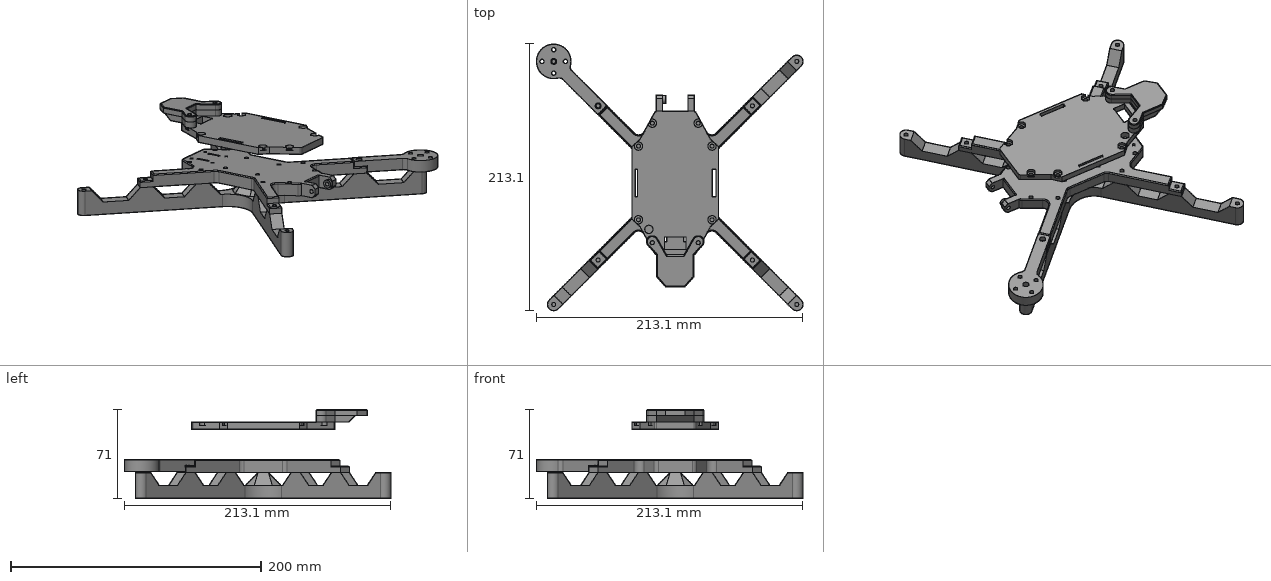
import cadquery as cq
import math

ROOT2 = math.sqrt(2)

OVERALL = 213.1
ARM_WIDTH = 10.0
ARM_HALF = ARM_WIDTH / 2
MOTOR_RADIUS = 13.9
ARM_DIRECTIONS = (45, 135, 225, 315)
MOTOR_DIRECTION = 135

MOTOR_OFFSET = (OVERALL - MOTOR_RADIUS - ARM_HALF) / 2
ARM_LENGTH = MOTOR_OFFSET * ROOT2

SKID_BASE_TOP = 10.5
SKID_TOP = 20.5
FRAME_TOP = 31.0
LAP_LEVEL = 25.8
LAP_GAP = 0.6
PLATE_BOTTOM = 55.2
PLATE_TOP = 61.0
MOUNT_SPLIT = 66.0
MOUNT_TOP = 71.0

SKID_CROTCH_RADIUS = 20.5
POST_TOP_LENGTH = 10.7
POST_SPREAD = 9.4
CENTRE_POST_HALF = 4.3
CENTRE_POST_SPREAD = 10.0
CENTRE_CORNER_REACH = 15.1
SKID_HOLE_DIAMETER = 3.2

END_Y = 57.3
END_HALF = 16.0
FRAME_HALF_WIDTH = 24.7
FRAME_FILLET = 5.0
FRAME_CHAMFER = 0.9
FRAME_END_FILLET = 4.0
SHOULDER = 81.8
TONGUE_END = 92.5
LAP_SCREW = (SHOULDER + TONGUE_END) / 2
SCREW_DIAMETER = 3.2
CORNER_SCREW = 29.5
END_SCREW = (18.3, 47.7)
END_SCREW_DEPTH = 8.5
INNER_SCREW = 15.3
CAMERA_HOLE_DIAMETER = 2.1
CAMERA_HOLE_X = 10.0
CAMERA_HOLE_YS = (-31.3, -51.4)
CABLE_SLOT = (2.0, 10.2)
CABLE_SLOT_CENTRE = (7.9, -41.8)

PRONG_INNER_X = 10.0
PRONG_OUTER_X = 15.3
PRONG_TIP_Y = 70.1
PRONG_CHAMFER = 2.8
PRONG_ROOT = 4.3
HINGE_Y = 66.7
HINGE_HOLE_DIAMETER = 3.2
BOSS_DIAMETER = 6.5
BOSS_LENGTH = 2.5

MOTOR_ARM_BOTTOM = 21.3
MOTOR_FILLET = 4.3
MOTOR_BORE = 4.7
MOTOR_HOLE_DIAMETER = 3.2
MOTOR_HOLE_CIRCLE = 9.4
MOTOR_ARM_SCREW = 4.7

PLATE_SIDE = (34.7, 28.8)
PLATE_SHOULDER = (28.1, 35.0)
PLATE_END_FILLET = 2.0
COUNTERBORE_DIAMETER = 6.5
COUNTERBORE_DEPTH = 2.5
STRAP_SLOT_LENGTH = 21.7
LEFT_STRAP_SLOT = (-31.1, 1.5)
RIGHT_STRAP_SLOT = (31.1, 2.8)
WINDOW = (16.8, 9.8)
WINDOW_Y = -48.2
ACCESS_HOLE_DIAMETER = 6.5
ACCESS_HOLE_CENTRE = (-21.0, -37.0)

LUG_CENTRE = (18.3, -46.9)
LUG_RADIUS = 4.7
NOTCH_HALF = 6.5
NOTCH_Y = -58.2
MOUNT_HALF = 15.0
MOUNT_ROOT_Y = -57.3
MOUNT_CUT_Y = -75.0
MOUNT_NOSE_HALF = 7.7
MOUNT_NOSE_Y = -83.1
MOUNT_CHAMFER = 0.6
RAMP_FOOT_Y = -68.5
MOUNT_HOLE_DIAMETER = 3.2


def mirrored(x, y):
    """The four points at +-x, +-y."""
    return [(sx * x, sy * y) for sx in (1, -1) for sy in (1, -1)]


def turn(shape, degrees):
    return shape.rotate((0, 0, 0), (0, 0, 1), degrees)


def along(distance, degrees):
    """The point at a distance from the centre along an arm."""
    return (distance * math.cos(math.radians(degrees)), distance * math.sin(math.radians(degrees)))


def drill(points, diameter, bottom, top):
    holes = cq.Workplane("XY", origin=(0, 0, bottom)).pushPoints(points)
    return holes.circle(diameter / 2).extrude(top - bottom)


def fillet_corner(body, x, y, z, radius):
    """Round the upright edge at one place."""
    return body.edges("|Z").edges(cq.NearestToPointSelector((x, y, z))).fillet(radius)


def make_skid():
    bar = cq.Workplane("XY").slot2D(2 * ARM_LENGTH + ARM_WIDTH, ARM_WIDTH).extrude(SKID_BASE_TOP)
    skid = turn(bar, 45).union(turn(bar, 135))
    crotch = ARM_HALF * ROOT2
    for x, y in ((crotch, 0), (-crotch, 0), (0, crotch), (0, -crotch)):
        skid = fillet_corner(skid, x, y, SKID_BASE_TOP / 2, SKID_CROTCH_RADIUS)

    rounded_bar = cq.Workplane("XY").slot2D(2 * ARM_LENGTH + ARM_WIDTH, ARM_WIDTH).extrude(SKID_TOP)
    for direction in ARM_DIRECTIONS:
        for centre in (CORNER_SCREW * ROOT2, LAP_SCREW, ARM_LENGTH):
            top_half = POST_TOP_LENGTH / 2
            foot_half = top_half + POST_SPREAD
            post = (
                cq.Workplane("XZ", origin=(centre, ARM_HALF, 0))
                .moveTo(-foot_half, SKID_BASE_TOP)
                .lineTo(-top_half, SKID_TOP)
                .lineTo(top_half, SKID_TOP)
                .lineTo(foot_half, SKID_BASE_TOP)
                .close()
                .extrude(ARM_WIDTH)
            )
            skid = skid.union(turn(post.intersect(rounded_bar), direction))
            hole = drill([along(centre, direction)], SKID_HOLE_DIAMETER, SKID_BASE_TOP, SKID_TOP)
            skid = skid.cut(hole)
    return skid.union(make_centre_post())


def make_centre_post():
    """A square pyramid stump whose corners are trimmed square to the bars."""
    height = SKID_TOP - SKID_BASE_TOP
    foot = 2 * (CENTRE_POST_HALF + CENTRE_POST_SPREAD)
    base = cq.Workplane("XY", origin=(0, 0, SKID_BASE_TOP))
    stump = base.rect(foot, foot).workplane(offset=height)
    stump = stump.rect(2 * CENTRE_POST_HALF, 2 * CENTRE_POST_HALF).loft(ruled=True)
    trim_foot = 2 * CENTRE_CORNER_REACH
    trim_top = 2 * CENTRE_POST_HALF * ROOT2
    trim = base.rect(trim_foot, trim_foot).workplane(offset=height)
    trim = trim.rect(trim_top, trim_top).loft(ruled=True)
    return stump.intersect(turn(trim, 45))


def end_outline(points):
    """Close a quarter outline, given from side to end, into a symmetric ring."""
    upper = points + [(-x, y) for x, y in reversed(points)]
    lower = [(-x, -y) for x, y in upper]
    return upper + lower


def make_frame():
    thickness = FRAME_TOP - SKID_TOP
    middle = (SKID_TOP + FRAME_TOP) / 2
    base = cq.Workplane("XY", origin=(0, 0, SKID_TOP))
    crotch = ARM_HALF * ROOT2
    root_y = FRAME_HALF_WIDTH - crotch
    shoulder_y = PLATE_SHOULDER[0] + crotch
    body_points = [
        (FRAME_HALF_WIDTH, root_y),
        (PLATE_SHOULDER[0], shoulder_y),
        (END_HALF, END_Y),
    ]
    frame = base.polyline(end_outline(body_points)).close().extrude(thickness)
    bar = base.rect(2 * SHOULDER, ARM_WIDTH).extrude(thickness)
    frame = frame.union(turn(bar, 45)).union(turn(bar, 135))
    for x, y in mirrored(FRAME_HALF_WIDTH, root_y) + mirrored(PLATE_SHOULDER[0], shoulder_y):
        frame = fillet_corner(frame, x, y, middle, FRAME_FILLET)
    for x, y in mirrored(END_HALF, END_Y):
        frame = fillet_corner(frame, x, y, middle, FRAME_END_FILLET)
    frame = frame.faces(">Z").edges().chamfer(FRAME_CHAMFER)

    tongue = make_tongue()
    for direction in ARM_DIRECTIONS:
        frame = frame.union(turn(tongue, direction))
    frame = frame.union(make_prongs())

    screws = mirrored(CORNER_SCREW, CORNER_SCREW) + mirrored(INNER_SCREW, INNER_SCREW)
    screws += [along(LAP_SCREW, direction) for direction in ARM_DIRECTIONS]
    end_screw_floor = FRAME_TOP - END_SCREW_DEPTH
    camera_holes = [(side * CAMERA_HOLE_X, y) for side in (1, -1) for y in CAMERA_HOLE_YS]
    slot_centres = [(side * CABLE_SLOT_CENTRE[0], CABLE_SLOT_CENTRE[1]) for side in (1, -1)]
    frame = frame.cut(drill(screws, SCREW_DIAMETER, SKID_TOP, FRAME_TOP))
    frame = frame.cut(drill(mirrored(*END_SCREW), SCREW_DIAMETER, end_screw_floor, FRAME_TOP))
    frame = frame.cut(drill(camera_holes, CAMERA_HOLE_DIAMETER, SKID_TOP, FRAME_TOP))
    frame = frame.cut(base.pushPoints(slot_centres).rect(*CABLE_SLOT).extrude(thickness))
    hinge = cq.Workplane("YZ", origin=(-PRONG_OUTER_X, HINGE_Y, middle))
    return frame.cut(hinge.circle(HINGE_HOLE_DIAMETER / 2).extrude(2 * PRONG_OUTER_X))


def make_tongue():
    """The low lap tongue at the end of an arm, bevelled along its free top edges."""
    length = TONGUE_END - SHOULDER
    tongue = (
        cq.Workplane("XY", origin=(SHOULDER + length / 2, 0, SKID_TOP))
        .rect(length, ARM_WIDTH)
        .extrude(LAP_LEVEL - SKID_TOP)
    )
    return tongue.faces(">Z").edges("not(<X)").chamfer(FRAME_CHAMFER)


def make_prongs():
    middle = (SKID_TOP + FRAME_TOP) / 2
    width = PRONG_OUTER_X - PRONG_INNER_X
    length = PRONG_TIP_Y - END_Y + PRONG_ROOT
    prong = cq.Workplane("XY").box(width, length, FRAME_TOP - SKID_TOP)
    prong = prong.faces(">Y").edges("|X").chamfer(PRONG_CHAMFER)
    prong = prong.translate((0, PRONG_TIP_Y - length / 2, middle))
    prong_x = (PRONG_OUTER_X + PRONG_INNER_X) / 2
    boss = cq.Workplane("YZ", origin=(-PRONG_INNER_X, HINGE_Y, middle))
    boss = boss.circle(BOSS_DIAMETER / 2).extrude(BOSS_LENGTH)
    left_prong = prong.translate((-prong_x, 0, 0)).union(boss)
    return left_prong.union(prong.translate((prong_x, 0, 0)))


def make_motor_arm():
    base = cq.Workplane("XY", origin=(0, 0, MOTOR_ARM_BOTTOM))
    thickness = FRAME_TOP - MOTOR_ARM_BOTTOM
    arm_start = SHOULDER + LAP_GAP
    arm_length = ARM_LENGTH - arm_start
    arm = base.center(arm_start + arm_length / 2, 0).rect(arm_length, ARM_WIDTH).extrude(thickness)
    arm = arm.union(base.center(ARM_LENGTH, 0).circle(MOTOR_RADIUS).extrude(thickness))
    neck = ARM_LENGTH - math.sqrt(MOTOR_RADIUS**2 - ARM_HALF**2)
    for side in (1, -1):
        arm = fillet_corner(arm, neck, side * ARM_HALF, MOTOR_ARM_BOTTOM + thickness / 2, MOTOR_FILLET)
    lap_end = TONGUE_END + LAP_GAP
    lap = base.center((arm_start + lap_end) / 2, 0).rect(lap_end - arm_start, ARM_WIDTH)
    arm = turn(arm.cut(lap.extrude(LAP_LEVEL + LAP_GAP - MOTOR_ARM_BOTTOM)), MOTOR_DIRECTION)

    motor_x, motor_y = along(ARM_LENGTH, MOTOR_DIRECTION)
    ring = [
        (motor_x + dx, motor_y + dy)
        for dx, dy in (along(MOTOR_HOLE_CIRCLE, angle) for angle in (0, 90, 180, 270))
    ]
    arm = arm.cut(drill(ring, MOTOR_HOLE_DIAMETER, MOTOR_ARM_BOTTOM, FRAME_TOP))
    arm = arm.cut(drill([(motor_x, motor_y)], MOTOR_BORE, MOTOR_ARM_BOTTOM, FRAME_TOP))
    screw = [along(LAP_SCREW, MOTOR_DIRECTION)]
    return arm.cut(drill(screw, MOTOR_ARM_SCREW, MOTOR_ARM_BOTTOM, FRAME_TOP))


def make_top_plate():
    base = cq.Workplane("XY", origin=(0, 0, PLATE_BOTTOM))
    thickness = PLATE_TOP - PLATE_BOTTOM
    outline = end_outline([PLATE_SIDE, PLATE_SHOULDER, (END_HALF, END_Y)])
    plate = base.polyline(outline).close().extrude(thickness)
    for x, y in mirrored(END_HALF, END_Y):
        plate = fillet_corner(plate, x, y, PLATE_BOTTOM + thickness / 2, PLATE_END_FILLET)
    screws = mirrored(CORNER_SCREW, CORNER_SCREW) + mirrored(*END_SCREW)
    plate = plate.cut(drill(screws, SCREW_DIAMETER, PLATE_BOTTOM, PLATE_TOP))
    plate = plate.cut(drill(screws, COUNTERBORE_DIAMETER, PLATE_TOP - COUNTERBORE_DEPTH, PLATE_TOP))
    plate = plate.cut(drill([ACCESS_HOLE_CENTRE], ACCESS_HOLE_DIAMETER, PLATE_BOTTOM, PLATE_TOP))
    for slot_x, slot_width in (LEFT_STRAP_SLOT, RIGHT_STRAP_SLOT):
        slot = base.center(slot_x, 0).rect(slot_width, STRAP_SLOT_LENGTH)
        plate = plate.cut(slot.extrude(thickness))
    return plate.cut(base.center(0, WINDOW_Y).rect(*WINDOW).extrude(thickness))


def mount_layer(bottom, top):
    """One layer of the mount: a nose block with two rounded screw lugs."""
    lug_x, lug_y = LUG_CENTRE

    def tangent_angle(x, y, side):
        """Where on the lug circle a line from the point (x, y) touches it."""
        distance = math.hypot(x - lug_x, y - lug_y)
        bearing = math.degrees(math.atan2(y - lug_y, x - lug_x))
        return bearing + side * math.degrees(math.acos(LUG_RADIUS / distance))

    def lug_point(degrees):
        dx, dy = along(LUG_RADIUS, degrees)
        return (lug_x + dx, lug_y + dy)

    inner_angle = tangent_angle(NOTCH_HALF, NOTCH_Y, -1) + 360
    outer_angle = tangent_angle(MOUNT_HALF, MOUNT_ROOT_Y, 1)
    inner, outer = lug_point(inner_angle), lug_point(outer_angle)
    tip = lug_point((inner_angle + outer_angle) / 2)
    half = (
        cq.Workplane("XY", origin=(0, 0, bottom))
        .moveTo(0, NOTCH_Y)
        .lineTo(NOTCH_HALF, NOTCH_Y)
        .lineTo(*inner)
        .threePointArc(tip, outer)
        .lineTo(MOUNT_HALF, MOUNT_ROOT_Y)
        .lineTo(MOUNT_HALF, MOUNT_CUT_Y)
        .lineTo(MOUNT_NOSE_HALF, MOUNT_NOSE_Y)
        .lineTo(0, MOUNT_NOSE_Y)
        .close()
        .extrude(top - bottom)
    )
    return half.union(half.mirror("YZ")).clean()


def drill_mount(layer, bottom, top):
    lug_x = END_SCREW[0]
    lug_y = -END_SCREW[1]
    return layer.cut(drill([(lug_x, lug_y), (-lug_x, lug_y)], MOUNT_HOLE_DIAMETER, bottom, top))


def make_mount_base():
    layer = mount_layer(PLATE_TOP, MOUNT_SPLIT)
    ramp_top_y = RAMP_FOOT_Y - (MOUNT_SPLIT - PLATE_TOP)
    ramp = (
        cq.Workplane("YZ", origin=(-MOUNT_HALF, 0, 0))
        .moveTo(RAMP_FOOT_Y, PLATE_TOP)
        .lineTo(ramp_top_y, MOUNT_SPLIT)
        .lineTo(MOUNT_NOSE_Y, MOUNT_SPLIT)
        .lineTo(MOUNT_NOSE_Y, PLATE_TOP)
        .close()
        .extrude(2 * MOUNT_HALF)
    )
    return drill_mount(layer.cut(ramp), PLATE_TOP, MOUNT_SPLIT)


def make_mount_cover():
    layer = mount_layer(MOUNT_SPLIT, MOUNT_TOP).faces(">Z").edges().chamfer(MOUNT_CHAMFER)
    return drill_mount(layer, MOUNT_SPLIT, MOUNT_TOP)


skid = make_skid()
frame = make_frame()
motor_arm = make_motor_arm()
top_plate = make_top_plate()
mount_base = make_mount_base()
mount_cover = make_mount_cover()

bodies = [skid, frame, motor_arm, top_plate, mount_base, mount_cover]
result = cq.Compound.makeCompound([body.val() for body in bodies])